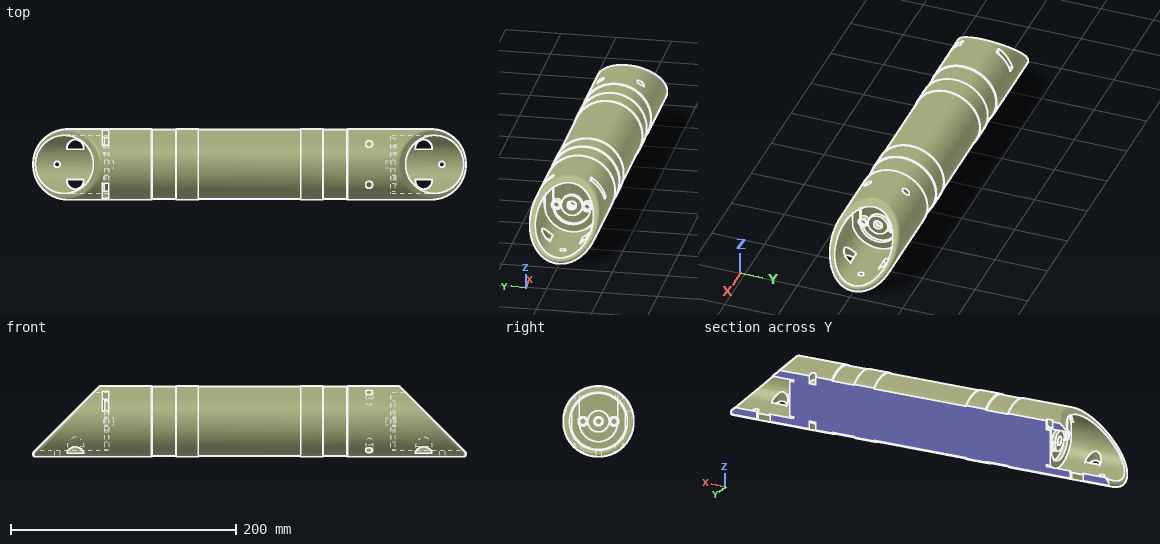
import cadquery as cq
import math

length = 385.0
cap_diameter = 63.0
tube_diameter = 62.0
cap_radius = cap_diameter / 2

mouth_angle = 45.0
rim_fillet = 2.5
half_tip_angle = math.radians(mouth_angle / 2)
tip_loss = rim_fillet / math.tan(half_tip_angle) - rim_fillet
sharp_tip_x = length / 2 + tip_loss

cap_inner_x = 86.5
ring_outer_x = 65.5
ring_inner_x = 45.5
sleeve_chamfer = (cap_diameter - tube_diameter) / 2

bore_diameter = 51.5
bore_floor_x = 125.0
plate_diameter = 50.0
plate_flat_half_width = 24.0
plate_face_x = 129.0
notch_half_width = 17.0
notch_arc_z = -1.0
notch_depth = 3.5
notch_floor_x = plate_face_x - notch_depth
boss_diameter = 19.0

center_hole_diameter = 6.0
center_hole_depth = 7.7
center_counterbore_diameter = 8.0
center_counterbore_depth = 4.0

screw_head_diameter = 8.5
screw_head_height = 4.5
screw_socket_diameter = 6.0
screw_socket_depth = 2.5
screw_offset_y = 14.0

drain_diameter = 5.0
drain_x = 171.0
slot_x = 154.7
slot_inner_y = 13.5
slot_flank = 1.0
slot_radius = 7.5

window_center_x = -127.8
window_width = 5.8
window_inner_y = notch_half_width
window_bottom_z = 9.2

fastener_hole_diameter = 6.0
fastener_hole_x = 106.2
fastener_hole_y = 18.0


def x_cylinder(diameter, start_x, end_x, y=0.0):
    """Cylinder along X between two stations."""
    plane = cq.Workplane("YZ", origin=(start_x, y, 0))
    return plane.circle(diameter / 2).extrude(end_x - start_x)


def make_cap():
    """Left cap with a slanted, rounded mouth."""
    outline = (
        cq.Workplane("XZ")
        .moveTo(-sharp_tip_x, -cap_radius)
        .lineTo(-cap_inner_x, -cap_radius)
        .lineTo(-cap_inner_x, cap_radius)
        .lineTo(-sharp_tip_x + cap_diameter / math.tan(math.radians(mouth_angle)), cap_radius)
        .close()
        .extrude(cap_radius, both=True)
    )
    cap = x_cylinder(cap_diameter, -sharp_tip_x, -cap_inner_x).intersect(outline)
    cap = cap.faces("<X").edges().fillet(rim_fillet)
    return cap.faces(">X").edges().chamfer(sleeve_chamfer)


def make_ring():
    """Left raised ring."""
    ring = x_cylinder(cap_diameter, -ring_outer_x, -ring_inner_x)
    return ring.faces("<X").edges().chamfer(sleeve_chamfer)


def make_notch():
    """U-shaped recess in the left end plate, open toward the top."""
    return (
        cq.Workplane("YZ", origin=(-notch_floor_x, 0, 0))
        .moveTo(-notch_half_width, cap_radius)
        .lineTo(-notch_half_width, notch_arc_z)
        .threePointArc((0, notch_arc_z - notch_half_width), (notch_half_width, notch_arc_z))
        .lineTo(notch_half_width, cap_radius)
        .close()
        .extrude(-notch_depth)
    )


def make_end():
    """Left bore, leaving the end plate standing with its boss, hole and screws."""
    bore = x_cylinder(bore_diameter, -sharp_tip_x, -bore_floor_x)
    flats = cq.Workplane("XY").box(length, 2 * plate_flat_half_width, cap_diameter)
    plate = x_cylinder(plate_diameter, -plate_face_x, -bore_floor_x).intersect(flats)
    boss = x_cylinder(boss_diameter, -plate_face_x, -notch_floor_x)
    head_face_x = notch_floor_x + screw_head_height
    cutter = bore.cut(plate.cut(make_notch())).cut(boss)
    cutter = cutter.union(
        x_cylinder(center_hole_diameter, -plate_face_x, -plate_face_x + center_hole_depth))
    cutter = cutter.union(
        x_cylinder(center_counterbore_diameter, -plate_face_x, -plate_face_x + center_counterbore_depth))
    for y in (-screw_offset_y, screw_offset_y):
        head = x_cylinder(screw_head_diameter, -head_face_x, -notch_floor_x, y)
        socket = x_cylinder(screw_socket_diameter, -head_face_x, -head_face_x + screw_socket_depth, y)
        cutter = cutter.cut(head.cut(socket))
    return cutter


def make_wall_openings():
    """Drain hole and two half-round slots through the lower wall of the left mouth."""
    openings = (
        cq.Workplane("XY", origin=(-drain_x, 0, 0))
        .circle(drain_diameter / 2)
        .extrude(-cap_diameter)
    )
    for side in (-1, 1):
        slot = (
            cq.Workplane("XY", origin=(-slot_x, side * slot_inner_y, 0))
            .moveTo(-slot_radius, 0)
            .lineTo(-slot_radius, side * slot_flank)
            .threePointArc((0, side * (slot_flank + slot_radius)), (slot_radius, side * slot_flank))
            .lineTo(slot_radius, 0)
            .close()
            .extrude(-cap_diameter)
        )
        openings = openings.union(slot)
    return openings


def make_windows():
    """Square-cornered windows through the wall on both upper sides of the left cap."""
    center_y = window_inner_y + cap_radius / 2
    center_z = window_bottom_z + cap_radius / 2
    windows = (
        cq.Workplane("XY", origin=(window_center_x, 0, center_z))
        .pushPoints([(0, -center_y), (0, center_y)])
        .box(window_width, cap_radius, cap_radius)
    )
    core = x_cylinder(bore_diameter, window_center_x - window_width, window_center_x + window_width)
    return windows.cut(core)


def make_fastener_holes():
    """Two vertical holes through the right cap wall, above and below the solid core."""
    holes = (
        cq.Workplane("XY", origin=(fastener_hole_x, 0, 0))
        .pushPoints([(0, -fastener_hole_y), (0, fastener_hole_y)])
        .circle(fastener_hole_diameter / 2)
        .extrude(cap_radius, both=True)
    )
    return holes.cut(x_cylinder(bore_diameter, cap_inner_x, bore_floor_x))


def both_ends(shape):
    """The left-end shape together with its mirror image at the right end."""
    return shape.union(shape.mirror("YZ"))


body = x_cylinder(tube_diameter, -cap_inner_x, cap_inner_x)
body = body.union(both_ends(make_cap()))
body = body.union(both_ends(make_ring()))
body = body.cut(both_ends(make_end()))
body = body.cut(both_ends(make_wall_openings()))
body = body.cut(make_windows())
body = body.cut(make_fastener_holes())

result = body